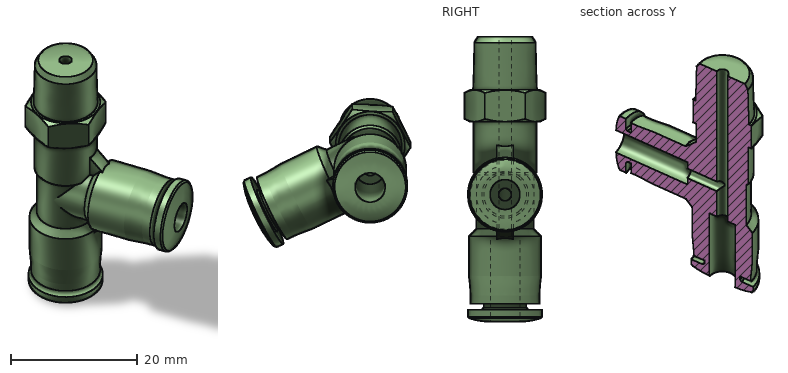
import cadquery as cq
import math

overall_height = 45.2
tee_reach = 20.15

tube_bore_diameter = 4.75
tube_bore_depth = 13.55
flange_diameter = 11.8
dome_height = 0.55
flange_chamfer = 0.25
flange_top_height = 1.95
neck_diameter = 6.8
neck_flare_diameter = 7.4
neck_flare_height = 2.25
collar_diameter = 11.0
collar_start_height = 2.85
collar_end_height = 4.2
body_diameter = 11.5
body_start_height = 7.25
body_end_height = 13.55
stem_diameter = 9.18
shoulder_height = (body_diameter - stem_diameter) / 2

sleeve_diameter = 10.0
sleeve_start = 23.75
sleeve_chamfer = (sleeve_diameter - stem_diameter) / 2
hex_corners = 12.85
hex_bottom = 31.7
hex_top = 36.75
hex_face_diameter = 11.0
hex_chamfer_angle = 27.0
thread_root_diameter = 10.15
thread_tip_diameter = 9.8
thread_end_diameter = 8.65
thread_chamfer_height = 1.0

through_bore_diameter = 2.0

rib_thickness = 2.58
rib_leg = 12.65


def tube_fitting():
    """Fitting revolved about Z, from its outer end at Z = 0 to the tee centre."""
    lip_radius = tube_bore_diameter / 2
    flange_radius = flange_diameter / 2
    dome_edge_radius = flange_radius - flange_chamfer
    dome_width = dome_edge_radius - lip_radius
    dome_radius = (dome_width ** 2 + dome_height ** 2) / (2 * dome_height)
    half_sweep = math.asin(dome_width / dome_radius) / 2
    dome_middle = (
        lip_radius + dome_radius * math.sin(half_sweep),
        dome_radius * (1 - math.cos(half_sweep)),
    )
    return (
        cq.Workplane("XZ")
        .moveTo(0, 0)
        .lineTo(lip_radius, 0)
        .threePointArc(dome_middle, (dome_edge_radius, dome_height))
        .lineTo(flange_radius, dome_height + flange_chamfer)
        .lineTo(flange_radius, flange_top_height)
        .lineTo(neck_flare_diameter / 2, flange_top_height)
        .lineTo(neck_diameter / 2, neck_flare_height)
        .lineTo(neck_diameter / 2, collar_start_height)
        .lineTo(collar_diameter / 2, collar_start_height)
        .lineTo(collar_diameter / 2, collar_end_height)
        .lineTo(body_diameter / 2, body_start_height)
        .lineTo(body_diameter / 2, body_end_height)
        .lineTo(stem_diameter / 2, body_end_height + shoulder_height)
        .lineTo(stem_diameter / 2, tee_reach)
        .lineTo(0, tee_reach)
        .close()
        .revolve(360, (0, 0), (0, 1))
    )


def tube_passage():
    """Tube bore and the narrower bore behind it, up to the tee centre."""
    wide = cq.Workplane("XY").circle(tube_bore_diameter / 2).extrude(tube_bore_depth)
    narrow = cq.Workplane("XY").circle(through_bore_diameter / 2).extrude(tee_reach)
    return wide.union(narrow)


def as_branch(shape):
    """Turn a shape from the run's lower end to the branch's outer end."""
    return shape.rotate((0, 0, tee_reach), (0, 1, tee_reach), -90)


def upper_run():
    """Stem, sleeve and tapered thread above the tee centre."""
    stem_radius = stem_diameter / 2
    sleeve_radius = sleeve_diameter / 2
    return (
        cq.Workplane("XZ")
        .moveTo(0, tee_reach)
        .lineTo(stem_radius, tee_reach)
        .lineTo(stem_radius, sleeve_start - sleeve_chamfer)
        .lineTo(sleeve_radius, sleeve_start)
        .lineTo(sleeve_radius, hex_top)
        .lineTo(thread_root_diameter / 2, hex_top)
        .lineTo(thread_tip_diameter / 2, overall_height - thread_chamfer_height)
        .lineTo(thread_end_diameter / 2, overall_height)
        .lineTo(0, overall_height)
        .close()
        .revolve(360, (0, 0), (0, 1))
    )


def hex_nut():
    """Hexagon with corners on the Y axis, chamfered at both faces."""
    face_radius = hex_face_diameter / 2
    corner_radius = hex_corners / 2
    corner_drop = (corner_radius - face_radius) * math.tan(math.radians(hex_chamfer_angle))
    prism = (
        cq.Workplane("XY", origin=(0, 0, hex_bottom))
        .polygon(6, hex_corners)
        .extrude(hex_top - hex_bottom)
        .rotate((0, 0, 0), (0, 0, 1), 90)
    )
    chamfer_envelope = (
        cq.Workplane("XZ")
        .moveTo(0, hex_bottom)
        .lineTo(face_radius, hex_bottom)
        .lineTo(corner_radius, hex_bottom + corner_drop)
        .lineTo(corner_radius, hex_top - corner_drop)
        .lineTo(face_radius, hex_top)
        .lineTo(0, hex_top)
        .close()
        .revolve(360, (0, 0), (0, 1))
    )
    return prism.intersect(chamfer_envelope)


def gusset_ribs():
    """Triangular plate whose sloping edges form the ribs above and below the branch."""
    return (
        cq.Workplane("XZ", origin=(0, 0, tee_reach))
        .polyline([(0, -rib_leg), (rib_leg, 0), (0, rib_leg)])
        .close()
        .extrude(rib_thickness / 2, both=True)
    )


fitting = tube_fitting()
passage = tube_passage()
upper_bore = (
    cq.Workplane("XY", origin=(0, 0, tee_reach))
    .circle(through_bore_diameter / 2)
    .extrude(overall_height - tee_reach)
)

result = (
    fitting.union(as_branch(fitting))
    .union(upper_run())
    .union(hex_nut())
    .union(gusset_ribs())
    .cut(passage)
    .cut(as_branch(passage))
    .cut(upper_bore)
)